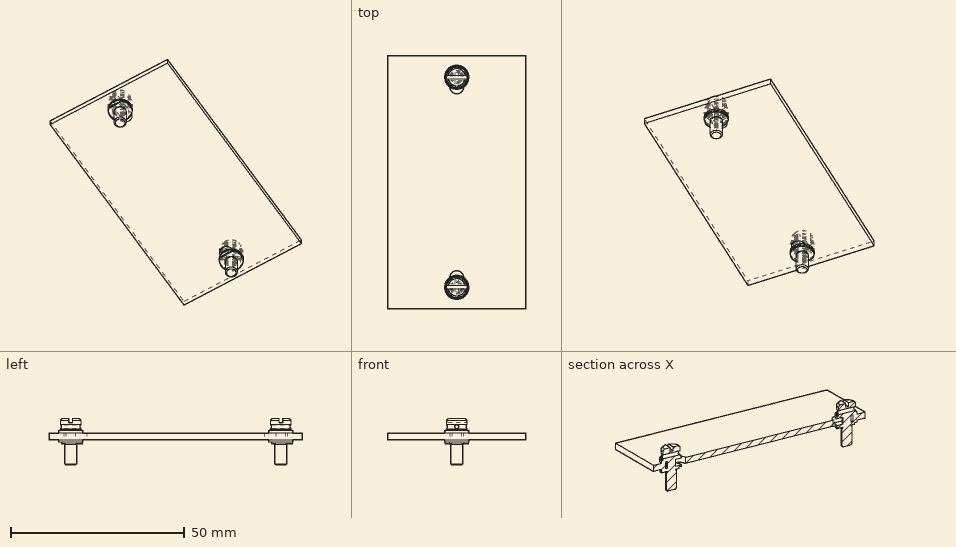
import cadquery as cq

plate_width = 40.0
plate_length = 73.2
plate_thickness = 2.0

screw_offset = 30.35
overall_height = 13.53
head_top = plate_thickness + 4.25
screw_bottom = head_top - overall_height

slot_width = 4.0
slot_travel = 2.75

head_radius = 3.0
head_height = 1.75
head_bottom = head_top - head_height
crown_height = 0.6
crown_inset = 0.5
driver_slot_width = 1.0
driver_slot_depth = 1.2

neck_depth = 0.25
wire_hole_diameter = 1.1

collar_radius = 3.5
collar_rim_height = 0.7
collar_step_height = 0.25
collar_step_radius = (collar_radius + head_radius) / 2
collar_rim_top = plate_thickness + collar_rim_height
collar_step_top = collar_rim_top + collar_step_height
neck_bottom = collar_step_top + collar_step_height
neck_middle = (head_bottom + neck_bottom) / 2

washer_thickness = 0.6
retainer_thickness = 0.5
retainer_radius = 3.4
retainer_flat = 2.65

shank_radius = 1.75
tip_chamfer = 0.4
captive_radius = 1.4
captive_gap = 0.2
shank_top = -washer_thickness - retainer_thickness - captive_gap


def make_plate():
    return cq.Workplane("XY").box(
        plate_width, plate_length, plate_thickness, centered=(True, True, False)
    )


def make_adjustment_slot():
    """Obround cutter from the screw axis at the origin toward +Y."""
    return (
        cq.Workplane("XY")
        .center(0, slot_travel / 2)
        .slot2D(slot_travel + slot_width, slot_width, 90)
        .extrude(plate_thickness)
    )


def make_turned_body():
    """Head, neck, collar and shank revolved about the screw axis."""
    return (
        cq.Workplane("XZ")
        .moveTo(0, screw_bottom)
        .lineTo(shank_radius - tip_chamfer, screw_bottom)
        .lineTo(shank_radius, screw_bottom + tip_chamfer)
        .lineTo(shank_radius, shank_top)
        .lineTo(captive_radius, shank_top)
        .lineTo(captive_radius, plate_thickness)
        .lineTo(collar_radius, plate_thickness)
        .lineTo(collar_radius, collar_rim_top)
        .lineTo(collar_step_radius, collar_rim_top)
        .lineTo(collar_step_radius, collar_step_top)
        .lineTo(head_radius, collar_step_top)
        .lineTo(head_radius, neck_bottom)
        .threePointArc((head_radius - neck_depth, neck_middle), (head_radius, head_bottom))
        .lineTo(head_radius, head_top - crown_height)
        .lineTo(head_radius - crown_inset, head_top)
        .lineTo(0, head_top)
        .close()
        .revolve(360, (0, 0, 0), (0, 1, 0))
    )


def make_driver_slot():
    return (
        cq.Workplane("XY")
        .workplane(offset=head_top - driver_slot_depth)
        .rect(2 * collar_radius, driver_slot_width)
        .extrude(driver_slot_depth)
    )


def make_wire_hole():
    return (
        cq.Workplane("XZ")
        .center(0, neck_middle)
        .circle(wire_hole_diameter / 2)
        .extrude(collar_radius, both=True)
    )


def make_washer():
    return cq.Workplane("XY").circle(collar_radius).extrude(-washer_thickness)


def make_retainer():
    """Disc with a flat on its +Y side."""
    disc = (
        cq.Workplane("XY")
        .workplane(offset=-washer_thickness)
        .circle(retainer_radius)
        .extrude(-retainer_thickness)
    )
    kept_depth = retainer_radius + retainer_flat
    kept_side = (
        cq.Workplane("XY")
        .workplane(offset=-washer_thickness)
        .center(0, retainer_flat - kept_depth / 2)
        .rect(2 * retainer_radius, kept_depth)
        .extrude(-retainer_thickness)
    )
    return disc.intersect(kept_side)


def make_screw():
    return (
        make_turned_body()
        .cut(make_driver_slot())
        .cut(make_wire_hole())
        .union(make_washer())
        .union(make_retainer())
    )


result = make_plate()
for side in (-1, 1):
    axis_position = (0, side * screw_offset, 0)
    inward_angle = 90 + side * 90
    adjustment_slot = make_adjustment_slot().rotate((0, 0, 0), (0, 0, 1), inward_angle)
    result = result.cut(adjustment_slot.translate(axis_position))
    result = result.union(make_screw().translate(axis_position))